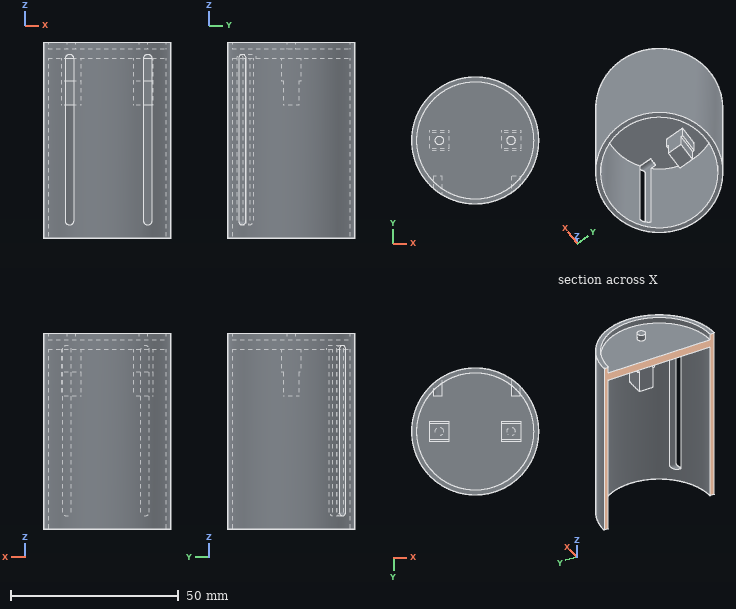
import cadquery as cq

tube_height = 58.5
tube_diameter = 38.0
bore_diameter = 35.0

plate_bottom = 53.7
recess_depth = 2.0
plate_top = tube_height - recess_depth

pin_diameter = 2.5
pin_offset = 10.7

slot_width = 2.5
slot_low_center = 5.25
slot_high_center = plate_bottom
slot_positions = (-11.25, 12.1)
slot_floor_y = -10.55

terminal_width = 5.85
upper_terminal_depth = 5.85
lower_terminal_depth = 4.7
terminal_step = 47.0
terminal_bottom = 39.85


def cylinder(diameter, bottom, top):
    """Vertical cylinder on the tube axis."""
    return cq.Workplane("XY").workplane(offset=bottom).circle(diameter / 2).extrude(top - bottom)


def slot_cutter(x):
    """Round-ended vertical slot running from outside the wall to its flat floor."""
    straight_length = slot_high_center - slot_low_center
    middle = (slot_high_center + slot_low_center) / 2
    return (
        cq.Workplane("XZ", origin=(0, slot_floor_y, 0))
        .center(x, middle)
        .slot2D(straight_length + slot_width, slot_width, 90)
        .extrude(tube_diameter / 2)
    )


def terminal_tier(x, depth, bottom, top):
    """One rectangular tier of a terminal block."""
    return (
        cq.Workplane("XY", origin=(x, 0, bottom))
        .rect(terminal_width, depth)
        .extrude(top - bottom)
    )


tube = cylinder(tube_diameter, 0, tube_height).cut(cylinder(bore_diameter, 0, tube_height))
result = tube.union(cylinder(bore_diameter, plate_bottom, plate_top))

for slot_x in slot_positions:
    result = result.cut(slot_cutter(slot_x))

for pin_x in (-pin_offset, pin_offset):
    pin = cylinder(pin_diameter, plate_top, tube_height).translate((pin_x, 0, 0))
    upper_tier = terminal_tier(pin_x, upper_terminal_depth, terminal_step, plate_bottom)
    lower_tier = terminal_tier(pin_x, lower_terminal_depth, terminal_bottom, terminal_step)
    result = result.union(pin).union(upper_tier).union(lower_tier)